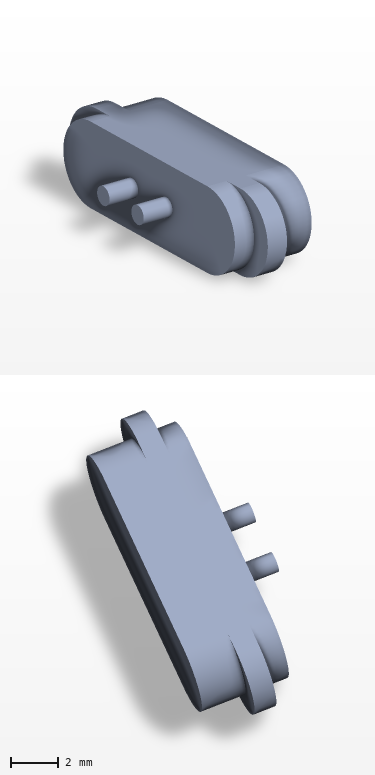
import cadquery as cq

height = 4.0
housing_length = 12.5
housing_depth = 4.0

flange_length = 14.5
flange_thickness = 1.0
flange_setback = 1.0

pin_diameter = 0.9
pin_length = 1.5
pin_spacing = 2.5


def stadium_plate(length, front_y, depth):
    """Round-ended plate centred on the Y axis, running from front_y toward +Y."""
    return (
        cq.Workplane("XZ", origin=(0, front_y, 0))
        .slot2D(length, height)
        .extrude(-depth)
    )


def make_housing():
    """Housing block and its flange as one solid."""
    block = stadium_plate(housing_length, 0, housing_depth)
    flange = stadium_plate(flange_length, flange_setback, flange_thickness)
    return block.union(flange)


def make_pin(x):
    """Round pin whose base rests on the housing front face, pointing toward -Y."""
    return cq.Workplane("XZ").center(x, 0).circle(pin_diameter / 2).extrude(pin_length)


housing = make_housing()
pins = [make_pin(side * pin_spacing / 2) for side in (-1, 1)]

result = cq.Compound.makeCompound([housing.val(), *[pin.val() for pin in pins]])